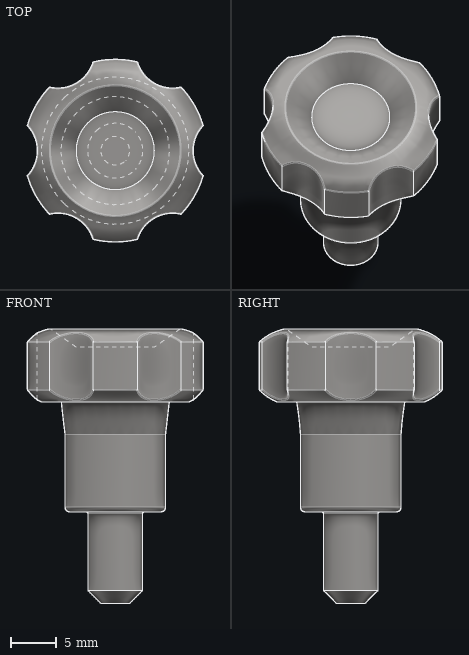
import cadquery as cq
import math

total_height = 30.0
head_height = 8.0
head_bottom = total_height - head_height
neck_bottom = 18.48
body_bottom = 10.0

pin_radius = 3.0
tip_chamfer = 1.45
body_radius = 11.0 / 2
body_fillet = 0.55
pin_root_fillet = 0.15
neck_top_radius = 5.9

head_radius = 10.0
head_base_radius = 8.05
rim_bottom = 23.3
rim_top = 28.6
crown_inner_radius = 7.1
crown_land = 0.1
crown_bulge = 0.2
base_bulge = 0.12

dish_floor_radius = 4.25
dish_depth = 2.0

scallop_count = 6
scallop_radius = 4.0
scallop_center_radius = 12.5
edge_fillet = 0.15
lip_fillet = 0.12


def bulged_midpoint(start, end, bulge):
    """Middle of a chord, pushed outward (right of its direction) by bulge."""
    dx = end[0] - start[0]
    dz = end[1] - start[1]
    chord = math.hypot(dx, dz)
    mid_x = (start[0] + end[0]) / 2 + bulge * dz / chord
    mid_z = (start[1] + end[1]) / 2 - bulge * dx / chord
    return mid_x, mid_z


def make_stem():
    """Pin, cylindrical body and flared neck below the head."""
    pin = (
        cq.Workplane("XY")
        .circle(pin_radius)
        .extrude(head_bottom)
        .faces("<Z")
        .chamfer(tip_chamfer)
    )
    body = (
        cq.Workplane("XY", origin=(0, 0, body_bottom))
        .circle(body_radius)
        .extrude(neck_bottom - body_bottom)
        .faces("<Z")
        .edges()
        .fillet(body_fillet)
    )
    neck = (
        cq.Workplane("XY", origin=(0, 0, neck_bottom))
        .circle(body_radius)
        .workplane(offset=head_bottom - neck_bottom)
        .circle(neck_top_radius)
        .loft(ruled=True)
    )
    stem = pin.union(body).union(neck)

    root_box = cq.selectors.BoxSelector(
        (-body_radius, -body_radius, body_bottom - pin_root_fillet),
        (body_radius, body_radius, body_bottom + pin_root_fillet),
    )
    pin_root = stem.edges(root_box).edges(cq.selectors.RadiusNthSelector(0))
    return stem.newObject(pin_root.vals()).fillet(pin_root_fillet)


def make_head():
    """Revolved head with rounded shoulders, a conical dish and scallops."""
    base_edge = (head_base_radius, head_bottom)
    rim_low = (head_radius, rim_bottom)
    rim_high = (head_radius, rim_top)
    crown_edge = (crown_inner_radius + crown_land, total_height)
    dish_floor = total_height - dish_depth
    head = (
        cq.Workplane("XZ")
        .moveTo(0, head_bottom)
        .lineTo(*base_edge)
        .threePointArc(bulged_midpoint(base_edge, rim_low, base_bulge), rim_low)
        .lineTo(*rim_high)
        .threePointArc(bulged_midpoint(rim_high, crown_edge, crown_bulge), crown_edge)
        .lineTo(crown_inner_radius, total_height)
        .lineTo(dish_floor_radius, dish_floor)
        .lineTo(0, dish_floor)
        .close()
        .revolve(360, (0, 0), (0, 1))
    )
    scallops = (
        cq.Workplane("XY", origin=(0, 0, head_bottom))
        .polarArray(scallop_center_radius, 0, 360, scallop_count)
        .circle(scallop_radius)
        .extrude(head_height)
    )
    head = head.cut(scallops)

    grip_outline = head.faces("%CYLINDER").edges("not |Z")
    head = head.newObject(grip_outline.vals()).fillet(edge_fillet)
    dish_lip = head.faces(">Z").edges(cq.selectors.RadiusNthSelector(0))
    return head.newObject(dish_lip.vals()).fillet(lip_fillet)


result = make_head().union(make_stem())